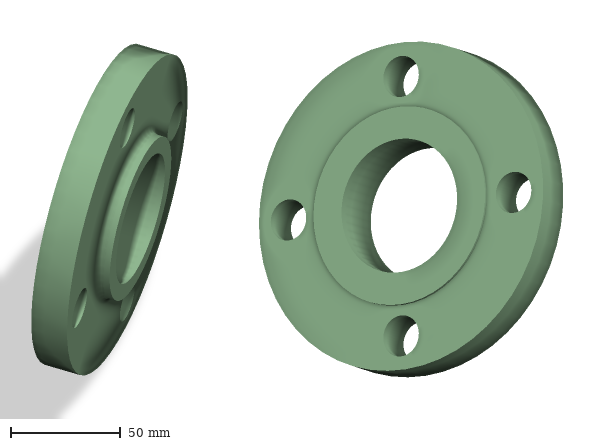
import cadquery as cq

flange_diameter = 152.4
overall_length = 25.5

raised_face_diameter = 92.0
raised_face_height = 1.5

flange_thickness = 17.5
hub_diameter = 78.0
hub_fillet_radius = 3.2

bore_diameter = 62.0
bolt_hole_diameter = 19.0
bolt_circle_diameter = 120.7
bolt_hole_count = 4

flange_front = raised_face_height
flange_back = flange_front + flange_thickness
fillet_end = flange_back + hub_fillet_radius


def flange_body():
    """Revolve the half section: raised face, plate, hub root fillet and hub."""
    hub_radius = hub_diameter / 2
    raised_face_radius = raised_face_diameter / 2
    flange_radius = flange_diameter / 2
    section = (
        cq.Workplane("XY")
        .lineTo(0, raised_face_radius)
        .lineTo(flange_front, raised_face_radius)
        .lineTo(flange_front, flange_radius)
        .lineTo(flange_back, flange_radius)
        .lineTo(flange_back, hub_radius + hub_fillet_radius)
        .radiusArc((fillet_end, hub_radius), -hub_fillet_radius)
        .lineTo(overall_length, hub_radius)
        .lineTo(overall_length, 0)
        .close()
    )
    return section.revolve(360, (0, 0, 0), (1, 0, 0))


def bore():
    """Straight bore through the whole length."""
    return cq.Workplane("YZ").circle(bore_diameter / 2).extrude(overall_length)


def bolt_holes():
    """Through holes evenly spaced on the bolt circle, starting on the Y axis."""
    return (
        cq.Workplane("YZ")
        .polarArray(bolt_circle_diameter / 2, 0, 360, bolt_hole_count)
        .circle(bolt_hole_diameter / 2)
        .extrude(overall_length)
    )


result = flange_body().cut(bore()).cut(bolt_holes())